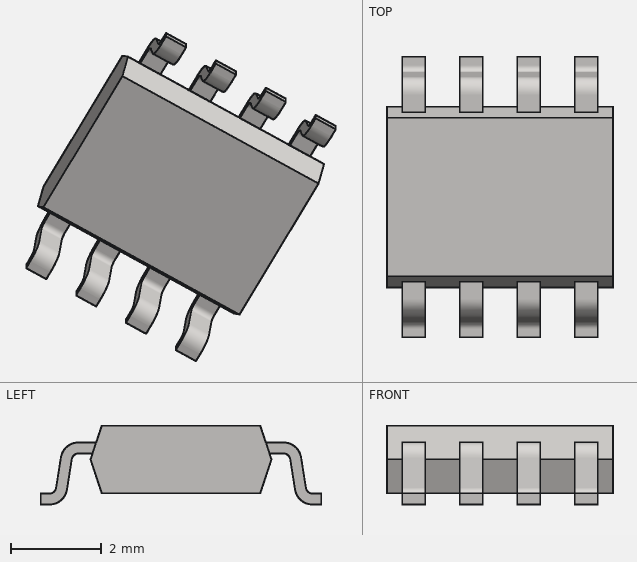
import cadquery as cq
import math

body_length = 5.0
body_width = 4.0
body_height = 1.5
body_standoff = 0.25
body_edge_inset = 0.25

leads_per_side = 4
lead_pitch = 1.27
lead_width = 0.515
lead_thickness = 0.25
lead_span = 6.2
lead_top = 1.375
lead_lean = 9.0
foot_flat = 0.19
inner_bend_radius = 0.15
outer_bend_radius = inner_bend_radius + lead_thickness
lead_embed = 0.25


def make_body():
    """Extrude the body section along X, widest at mid-height."""
    half_width = body_width / 2
    half_flat = half_width - body_edge_inset
    bottom = body_standoff
    top = bottom + body_height
    middle = (bottom + top) / 2
    outline = [
        (-half_flat, bottom),
        (half_flat, bottom),
        (half_width, middle),
        (half_flat, top),
        (-half_flat, top),
        (-half_width, middle),
    ]
    return (
        cq.Workplane("YZ")
        .polyline(outline)
        .close()
        .extrude(body_length / 2, both=True)
    )


def bend_point(center, radius, angle):
    """Point on a bend, with the angle in degrees measured from +Y towards +Z."""
    turn = math.radians(angle)
    return (center[0] + radius * math.cos(turn), center[1] + radius * math.sin(turn))


def make_lead():
    """One lead on the +Y side, centred on X = 0, with its foot on Z = 0."""
    tip = lead_span / 2
    root = body_width / 2 - lead_embed
    arm_bottom = lead_top - lead_thickness

    foot_center = (tip - foot_flat, lead_thickness + inner_bend_radius)
    shoulder_z = lead_top - outer_bend_radius
    lean = math.radians(lead_lean)
    bend_radii_sum = inner_bend_radius + outer_bend_radius
    center_rise = shoulder_z - foot_center[1]
    center_run = center_rise * math.tan(lean) + bend_radii_sum / math.cos(lean)
    shoulder_center = (foot_center[0] - center_run, shoulder_z)

    shoulder_end = lead_lean
    shoulder_middle = (90 + shoulder_end) / 2
    foot_end = 180 + lead_lean
    foot_middle = (270 + foot_end) / 2

    profile = (
        cq.Workplane("YZ")
        .moveTo(root, lead_top)
        .lineTo(shoulder_center[0], lead_top)
        .threePointArc(
            bend_point(shoulder_center, outer_bend_radius, shoulder_middle),
            bend_point(shoulder_center, outer_bend_radius, shoulder_end),
        )
        .lineTo(*bend_point(foot_center, inner_bend_radius, foot_end))
        .threePointArc(
            bend_point(foot_center, inner_bend_radius, foot_middle),
            (foot_center[0], lead_thickness),
        )
        .lineTo(tip, lead_thickness)
        .lineTo(tip, 0)
        .lineTo(foot_center[0], 0)
        .threePointArc(
            bend_point(foot_center, outer_bend_radius, foot_middle),
            bend_point(foot_center, outer_bend_radius, foot_end),
        )
        .lineTo(*bend_point(shoulder_center, inner_bend_radius, shoulder_end))
        .threePointArc(
            bend_point(shoulder_center, inner_bend_radius, shoulder_middle),
            (shoulder_center[0], arm_bottom),
        )
        .lineTo(root, arm_bottom)
        .close()
    )
    return profile.extrude(lead_width / 2, both=True)


result = make_body()
lead = make_lead()
opposite_lead = lead.mirror("XZ")
for index in range(leads_per_side):
    lead_x = (index - (leads_per_side - 1) / 2) * lead_pitch
    result = result.union(lead.translate((lead_x, 0, 0)))
    result = result.union(opposite_lead.translate((lead_x, 0, 0)))